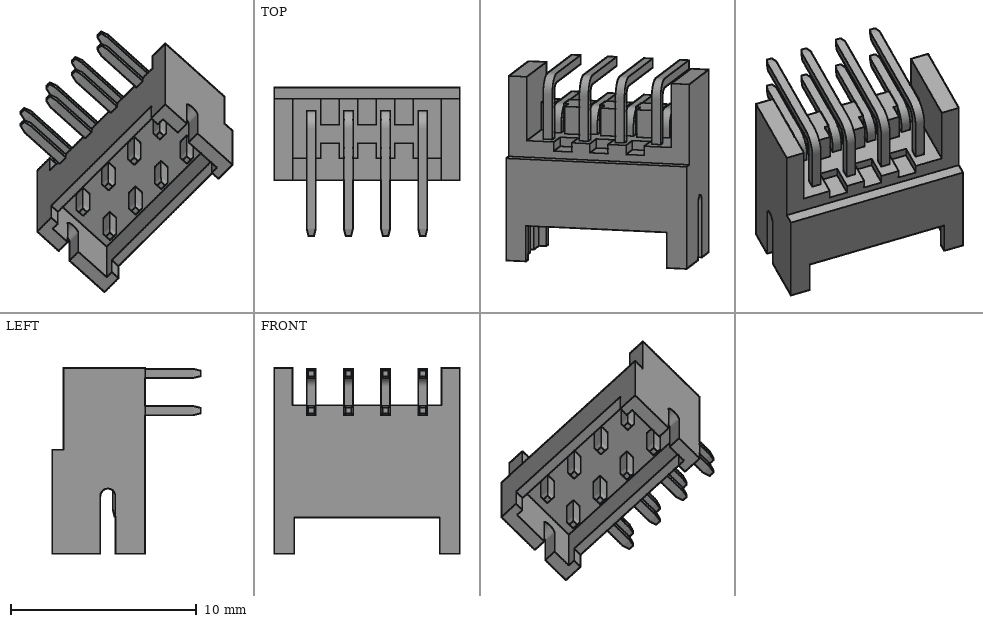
import cadquery as cq


length = 10.0
depth = 5.0
height = 10.0

ledge_height = 5.6
ledge_depth = 0.6

post_width = 1.0
deck_height = 8.0

recess_floor = 6.5
front_lip = 1.2
spacer_width = 1.0
tooth_end = 2.0
pocket_start = 3.0
pocket_floor = 6.0

front_wall = 0.5
side_wall = 0.7
socket_height = 5.0
mouth_corner_width = 1.1
mouth_notch_height = 1.95

slot_center_y = 2.0
slot_width = 0.8
slot_height = 3.5

pins_per_row = 4
pitch = 2.0
pin_size = 0.5
pin_bend_radius = 0.95
tip_length = 0.4
tip_size = 0.3
tail_reach = 3.0
contact_end_height = 2.0
front_row_leg_y = 1.5
front_row_tail_z = 7.7
pin_rows = [
    (front_row_leg_y, front_row_tail_z),
    (front_row_leg_y + pitch, front_row_tail_z + pitch),
]

upper_depth = depth - ledge_depth
post_gap = length - 2 * post_width
pin_positions = [(i - (pins_per_row - 1) / 2) * pitch for i in range(pins_per_row)]
spacer_positions = [x + pitch / 2 for x in pin_positions[:-1]]


def block(x_center, width, y_start, y_end, z_start, z_end):
    """Box centred on x_center in X and spanning the given Y and Z ranges."""
    box = cq.Workplane("XY").box(width, y_end - y_start, z_end - z_start, centered=(True, False, False))
    return box.translate((x_center, y_start, z_start))


def make_shell():
    """Stepped outer block with the gap between the two end posts."""
    lower = block(0, length, 0, depth, 0, ledge_height)
    upper = block(0, length, 0, upper_depth, ledge_height, height)
    gap = block(0, post_gap, 0, upper_depth, deck_height, height)
    return lower.union(upper).cut(gap)


def make_recess():
    """Deck recess, open at the back, with front teeth left standing and back pockets sunk below it."""
    recess = block(0, post_gap, front_lip, upper_depth, recess_floor, deck_height)
    for x in spacer_positions:
        tooth = block(x, spacer_width, front_lip, tooth_end, recess_floor, deck_height)
        pocket = block(x, spacer_width, pocket_start, upper_depth, pocket_floor, recess_floor)
        recess = recess.cut(tooth).union(pocket)
    return recess


def make_lip_slot(x):
    """Pin-wide slot that opens the front lip above a tail of the front row."""
    return block(x, pin_size, 0, front_lip, front_row_tail_z, deck_height)


def make_socket():
    """Mating cavity and the notch across the front and back walls at its mouth."""
    cavity = block(0, length - 2 * side_wall, front_wall, depth - front_wall, 0, socket_height)
    notch = block(0, length - 2 * mouth_corner_width, 0, depth, 0, mouth_notch_height)
    return cavity.union(notch)


def make_side_slot():
    """Round-topped slot running through both side walls."""
    radius = slot_width / 2
    return (
        cq.Workplane("YZ", origin=(-length / 2, 0, 0))
        .moveTo(slot_center_y - radius, 0)
        .lineTo(slot_center_y - radius, slot_height - radius)
        .threePointArc((slot_center_y, slot_height), (slot_center_y + radius, slot_height - radius))
        .lineTo(slot_center_y + radius, 0)
        .close()
        .extrude(length)
    )


def make_tip(plane):
    """Tapered pin end growing from the given plane along its normal."""
    return (
        cq.Workplane(plane)
        .rect(pin_size, pin_size)
        .workplane(offset=tip_length)
        .rect(tip_size, tip_size)
        .loft()
    )


def make_pin(x, leg_y, tail_z):
    """Square pin: vertical contact leg, rounded bend and horizontal tail, both ends tapered."""
    half = pin_size / 2
    leg_end = contact_end_height + tip_length
    tail_end = tip_length - tail_reach
    inner_radius = pin_bend_radius - pin_size

    leg = block(x, pin_size, leg_y - half, leg_y + half, leg_end, tail_z + half)
    tail = block(x, pin_size, tail_end, leg_y + half, tail_z - half, tail_z + half)
    bend_fill = block(
        x, pin_size,
        leg_y - half - inner_radius, leg_y - half,
        tail_z - half - inner_radius, tail_z - half,
    )
    bend_hollow = (
        cq.Workplane("YZ", origin=(x - half, leg_y - half - inner_radius, tail_z - half - inner_radius))
        .circle(inner_radius)
        .extrude(pin_size)
    )
    pin = leg.union(tail).edges("|X and >Y and >Z").fillet(pin_bend_radius)
    pin = pin.union(bend_fill.cut(bend_hollow))

    leg_plane = cq.Plane(origin=(x, leg_y, leg_end), xDir=(1, 0, 0), normal=(0, 0, -1))
    tail_plane = cq.Plane(origin=(x, tail_end, tail_z), xDir=(1, 0, 0), normal=(0, -1, 0))
    return pin.union(make_tip(leg_plane)).union(make_tip(tail_plane))


result = make_shell().cut(make_recess()).cut(make_socket()).cut(make_side_slot())
for pin_x in pin_positions:
    result = result.cut(make_lip_slot(pin_x))
for leg_y, tail_z in pin_rows:
    for pin_x in pin_positions:
        result = result.union(make_pin(pin_x, leg_y, tail_z))